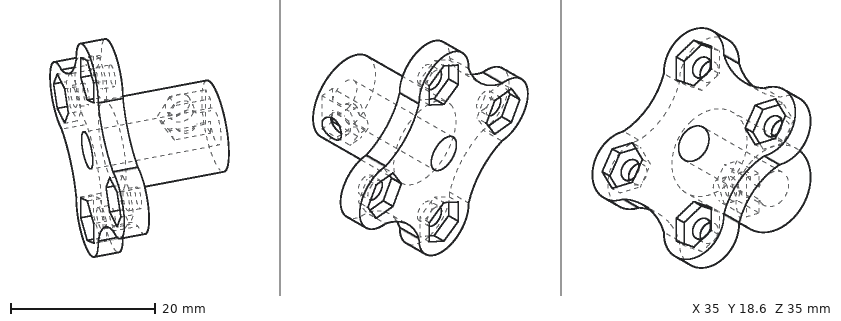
import cadquery as cq
import math

span = 34.97
lobe_radius = 5.18
plate_thickness = 3.6
total_depth = 18.6
hub_diameter = 12.95
bore_diameter = 5.25
screw_hole_diameter = 3.08
nut_across_flats = 6.0
nut_depth = 1.82
set_screw_diameter = 3.6
set_screw_from_end = 3.5
trap_outer = 4.6
trap_inner = 2.45
lobe_count = 4
lobe_flat = 0.2
waist_offset = 7.8

lobe_center = span / 2 - lobe_radius
waist_end = lobe_center - lobe_flat
nut_across_corners = nut_across_flats / math.cos(math.pi / 6)
set_screw_y = total_depth - set_screw_from_end
lobe_angles = [i * 360 / lobe_count for i in range(lobe_count)]


def turned(x, z, angle):
    """Rotate a point of the plate about the hub axis by an angle in degrees."""
    a = math.radians(angle)
    return (x * math.cos(a) - z * math.sin(a), x * math.sin(a) + z * math.cos(a))


def cylinder_along_y(diameter, start, length):
    """Cylinder on the hub axis from Y = start towards +Y."""
    plane = cq.Workplane("XZ", origin=(0, start, 0))
    return plane.circle(diameter / 2).extrude(-length)


def make_plate():
    """Four round lobes joined by concave waists."""
    outline = cq.Workplane("XZ").moveTo(waist_end, -lobe_radius)
    for angle in lobe_angles:
        outline = (
            outline
            .lineTo(*turned(lobe_center, -lobe_radius, angle))
            .threePointArc(
                turned(span / 2, 0, angle),
                turned(lobe_center, lobe_radius, angle),
            )
            .lineTo(*turned(waist_end, lobe_radius, angle))
            .threePointArc(
                turned(waist_offset, waist_offset, angle),
                turned(lobe_radius, waist_end, angle),
            )
        )
    return outline.close().extrude(-plate_thickness)


def make_lobe_cut(angle):
    """Screw hole with a hexagonal nut pocket in the front, a corner pointing outwards."""
    hole = cq.Workplane("XZ").center(lobe_center, 0).circle(screw_hole_diameter / 2)
    pocket = cq.Workplane("XZ").center(lobe_center, 0).polygon(6, nut_across_corners)
    cut = hole.extrude(-plate_thickness).union(pocket.extrude(-nut_depth))
    return cut.rotate((0, 0, 0), (0, 1, 0), angle)


def make_set_screw_hole():
    """Radial hole through the -X wall of the hub, into the bore."""
    plane = cq.Workplane("YZ").center(set_screw_y, 0)
    return plane.circle(set_screw_diameter / 2).extrude(-hub_diameter)


def make_nut_trap():
    """Slot across the set screw for a captive nut, open at the rear and ending in a nut corner."""
    half_width = nut_across_flats / 2
    half_side = nut_across_corners / 4
    return (
        cq.Workplane("YZ", origin=(-trap_outer, 0, 0))
        .moveTo(total_depth, half_width)
        .lineTo(set_screw_y - half_side, half_width)
        .lineTo(set_screw_y - nut_across_corners / 2, 0)
        .lineTo(set_screw_y - half_side, -half_width)
        .lineTo(total_depth, -half_width)
        .close()
        .extrude(trap_outer - trap_inner)
    )


hub = cylinder_along_y(hub_diameter, 0, total_depth)
result = make_plate().union(hub)
for lobe_angle in lobe_angles:
    result = result.cut(make_lobe_cut(lobe_angle))
result = result.cut(cylinder_along_y(bore_diameter, 0, total_depth))
result = result.cut(make_set_screw_hole())
result = result.cut(make_nut_trap())